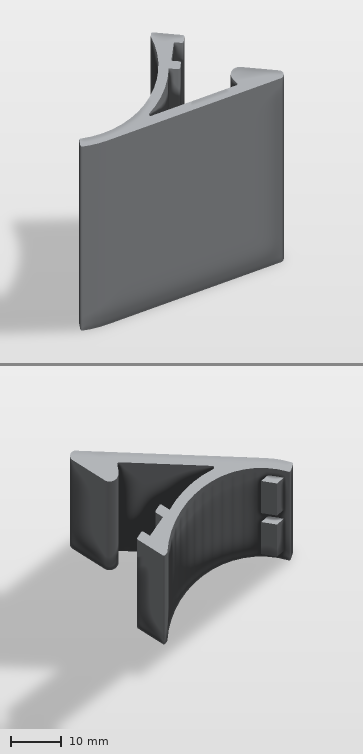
import cadquery as cq
import math

length = 58.5
inner_radius = 18.5
wall = 2.05
outer_radius = inner_radius + wall
leg_angle = 46.0
wall_end_angle = -59.6
wall_start_angle = 45.0
flange_angle = 15.0
flange_corner = (12.85, 14.05)
flange_length = 6.55
flange_depth = 2.0
flange_overhang = 1.9
lug_drop = 4.6
lug_length = 1.95
lug_depth = 2.0
bulb_center = (32.9, 10.65)
bulb_radius = 1.8
neck_angle = -31.0
tip_round = 1.05
edge_round = 0.35
crotch_round = 0.35

tooth_count = 2
tooth_left = 10.5
tooth_right = 12.9
tooth_left_top = -13.45
tooth_right_top = -11.45
tooth_length = 21.2
tooth_gap = 5.9
tooth_start = 5.45


def polar(radius, angle):
    a = math.radians(angle)
    return (radius * math.cos(a), radius * math.sin(a))


def step(point, distance, angle):
    dx, dy = polar(distance, angle)
    return (point[0] + dx, point[1] + dy)


def crossing(p, p_angle, q, q_angle):
    """Intersection of two lines, each given by a point and a direction angle."""
    a = math.radians(p_angle)
    b = math.radians(q_angle)
    dx = q[0] - p[0]
    dy = q[1] - p[1]
    reach = (dx * math.sin(b) - dy * math.cos(b)) / math.sin(b - a)
    return step(p, reach, p_angle)


down_angle = flange_angle - 90
flange_tip = step(flange_corner, flange_length, flange_angle)
flange_under = step(flange_tip, flange_depth, down_angle)
flange_root = step(flange_under, -flange_overhang, flange_angle)
lug_root = step(flange_root, lug_drop, down_angle)
lug_tip = step(lug_root, lug_length, flange_angle)
lug_under = step(lug_tip, lug_depth, down_angle)

tilt = math.radians(flange_angle)
lug_height = lug_under[1] * math.cos(tilt) - lug_under[0] * math.sin(tilt)
lug_base_angle = flange_angle + math.degrees(math.asin(lug_height / outer_radius))
lug_base = polar(outer_radius, lug_base_angle)

tangent_angle = leg_angle - 90
leg_outer = polar(outer_radius, tangent_angle)
leg_inner = polar(inner_radius, tangent_angle)
crotch_angle = tangent_angle + math.degrees(math.acos(inner_radius / outer_radius))
crotch = polar(outer_radius, crotch_angle)
bulb_top = step(bulb_center, bulb_radius, flange_angle + 90)
bulb_left = step(bulb_center, bulb_radius, 180)
bulb_bottom = step(bulb_center, bulb_radius, neck_angle - 90)
neck = crossing(bulb_bottom, neck_angle, leg_inner, leg_angle)
head_tip = crossing(bulb_top, flange_angle, leg_outer, leg_angle)

wall_end_inner = polar(inner_radius, wall_end_angle)
wall_end_outer = polar(outer_radius, wall_end_angle)
concave_top = polar(inner_radius, wall_start_angle)
concave_middle = polar(inner_radius, 0)


def round_edges(body, points, radius):
    for x, y in points:
        edge = cq.selectors.NearestToPointSelector((x, y, length / 2))
        body = body.edges("|Z").edges(edge).fillet(radius)
    return body


def make_profile():
    body = (
        cq.Workplane("XY")
        .moveTo(*flange_corner)
        .lineTo(*flange_tip)
        .lineTo(*flange_under)
        .lineTo(*flange_root)
        .lineTo(*lug_root)
        .lineTo(*lug_tip)
        .lineTo(*lug_under)
        .lineTo(*lug_base)
        .threePointArc(polar(outer_radius, (lug_base_angle + crotch_angle) / 2), crotch)
        .lineTo(*neck)
        .lineTo(*bulb_bottom)
        .threePointArc(bulb_left, bulb_top)
        .lineTo(*head_tip)
        .lineTo(*leg_outer)
        .threePointArc(polar(outer_radius, (tangent_angle + wall_end_angle) / 2), wall_end_outer)
        .lineTo(*wall_end_inner)
        .threePointArc(concave_middle, concave_top)
        .close()
        .extrude(length)
    )
    body = round_edges(body, [head_tip], tip_round)
    body = round_edges(body, [crotch, neck], crotch_round)
    outer_corners = [flange_corner, flange_tip, flange_under, lug_tip, lug_under, wall_end_inner, wall_end_outer]
    return round_edges(body, outer_corners, edge_round)


def make_tooth(start):
    root_radius = inner_radius + wall / 2
    left_root = -math.sqrt(root_radius**2 - tooth_left**2)
    right_root = -math.sqrt(root_radius**2 - tooth_right**2)
    return (
        cq.Workplane("XY", origin=(0, 0, start))
        .moveTo(tooth_left, left_root)
        .lineTo(tooth_left, tooth_left_top)
        .lineTo(tooth_right, tooth_right_top)
        .lineTo(tooth_right, right_root)
        .close()
        .extrude(tooth_length)
    )


result = make_profile()
for index in range(tooth_count):
    result = result.union(make_tooth(tooth_start + index * (tooth_length + tooth_gap)))